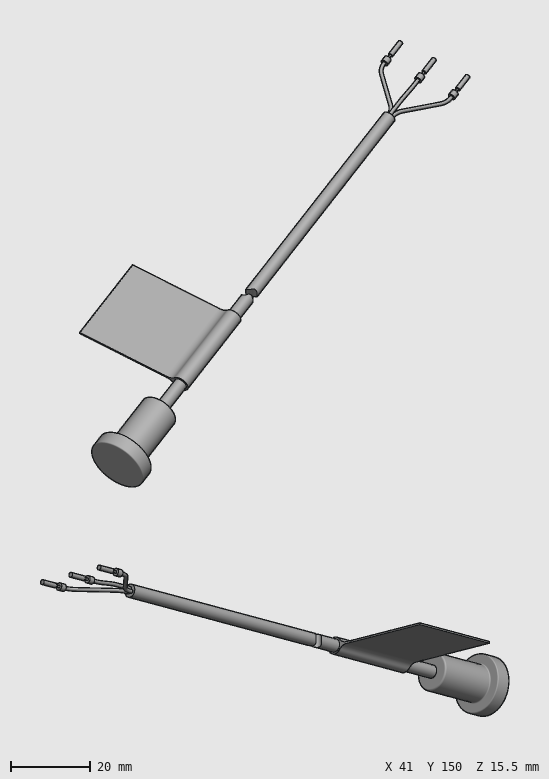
import cadquery as cq
import math


FLANGE_DIAMETER = 15.5
FLANGE_LENGTH = 4.0
BARREL_DIAMETER = 9.9
BARREL_END_Y = 20.1
BARREL_EDGE_FILLET = 0.5
FLANGE_EDGE_FILLET = 0.3
FLANGE_ROOT_FILLET = 0.3

CABLE_DIAMETER = 3.5
JACKET_END_Y = 128.7
BREAK_CENTER_Y = 62.5
BREAK_GAP = 2.0
BREAK_WAVE_HEIGHT = 0.52

LABEL_THICKNESS = 0.5
FLAG_THICKNESS = 0.5
LABEL_START_Y = 30.0
LABEL_LENGTH = 25.0
LABEL_REACH = 30.0
LABEL_BLEND_RADIUS = 3.0

TOTAL_LENGTH = 150.0
TOTAL_WIDTH = 41.0
WIRE_DIAMETER = 1.02
SIDE_BEND_YS = (131.0, 140.2)
SIDE_BEND_RADIUS = 4.2
MIDDLE_BEND_YS = (134.7, 139.8)
MIDDLE_BEND_RADIUS = 18.0
COLLAR_DIAMETER = 2.0
COLLAR_START_Y = 142.4
COLLAR_LENGTH = 1.6
NECK_DIAMETER = 0.7
TIP_DIAMETER = 1.3
TIP_LENGTH = 4.8

cable_radius = CABLE_DIAMETER / 2
wire_spacing = TOTAL_WIDTH - LABEL_REACH - COLLAR_DIAMETER / 2


def cylinder_along_y(diameter, start_y, end_y, x=0.0):
    """Solid cylinder parallel to Y, at height Z = 0."""
    plane = cq.Plane(origin=(x, start_y, 0), xDir=(1, 0, 0), normal=(0, 1, 0))
    return cq.Workplane(plane).circle(diameter / 2).extrude(end_y - start_y)


def cable_piece(flat_y, wave_y):
    """Length of cable with a flat end at flat_y and a wavy, S-shaped end at wave_y."""
    half_radius = cable_radius / 2
    profile = (
        cq.Workplane("XY")
        .workplane(offset=-cable_radius)
        .moveTo(-cable_radius, flat_y)
        .lineTo(-cable_radius, wave_y)
        .threePointArc((-half_radius, wave_y - BREAK_WAVE_HEIGHT), (0, wave_y))
        .threePointArc((half_radius, wave_y + BREAK_WAVE_HEIGHT), (cable_radius, wave_y))
        .lineTo(cable_radius, flat_y)
        .close()
        .extrude(CABLE_DIAMETER)
    )
    far_y = wave_y + math.copysign(CABLE_DIAMETER, wave_y - flat_y)
    round_bar = cylinder_along_y(CABLE_DIAMETER, min(flat_y, far_y), max(flat_y, far_y))
    return round_bar.intersect(profile)


def make_sensor():
    """Flanged sensor housing moulded onto its stub of cable."""
    flange = cylinder_along_y(FLANGE_DIAMETER, 0, FLANGE_LENGTH).edges().fillet(FLANGE_EDGE_FILLET)
    barrel = cylinder_along_y(BARREL_DIAMETER, 0, BARREL_END_Y)
    barrel = barrel.faces(">Y").edges().fillet(BARREL_EDGE_FILLET)
    root_edge = cq.selectors.NearestToPointSelector((0, FLANGE_LENGTH, 0))
    housing = flange.union(barrel).edges(root_edge).fillet(FLANGE_ROOT_FILLET)
    cable_stub = cable_piece(BARREL_END_Y, BREAK_CENTER_Y - BREAK_GAP / 2)
    return housing.union(cable_stub)


def make_label():
    """Label wrapped around the cable, its two halves blended into one flat flag on the -X side."""
    wrap_radius = cable_radius + LABEL_THICKNESS
    center_distance = wrap_radius + LABEL_BLEND_RADIUS
    blend_z = FLAG_THICKNESS / 2 + LABEL_BLEND_RADIUS
    blend_x = -math.sqrt(center_distance**2 - blend_z**2)
    touch_x = blend_x * wrap_radius / center_distance
    touch_z = blend_z * wrap_radius / center_distance
    end_angle = math.atan2(-blend_z, -blend_x)
    middle_angle = (end_angle - math.pi / 2) / 2
    middle_x = blend_x + LABEL_BLEND_RADIUS * math.cos(middle_angle)
    middle_z = blend_z + LABEL_BLEND_RADIUS * math.sin(middle_angle)
    end_y = LABEL_START_Y + LABEL_LENGTH
    outline = (
        cq.Workplane("XZ", origin=(0, end_y, 0))
        .moveTo(-LABEL_REACH, -FLAG_THICKNESS / 2)
        .lineTo(-LABEL_REACH, FLAG_THICKNESS / 2)
        .lineTo(blend_x, FLAG_THICKNESS / 2)
        .threePointArc((middle_x, middle_z), (touch_x, touch_z))
        .threePointArc((wrap_radius, 0), (touch_x, -touch_z))
        .threePointArc((middle_x, -middle_z), (blend_x, -FLAG_THICKNESS / 2))
        .close()
        .extrude(LABEL_LENGTH)
    )
    return outline.cut(cylinder_along_y(CABLE_DIAMETER, LABEL_START_Y, end_y))


def bent_wire(start_x, start_z, end_x, bend_ys, bend_radius):
    """Round wire that shifts sideways in an S-bend, from the jacket end to the collar."""
    shift = math.hypot(end_x - start_x, start_z)
    sideways = cq.Vector((end_x - start_x) / shift, 0, -start_z / shift)
    path_plane = cq.Plane(
        origin=(start_x, 0, start_z),
        xDir=sideways,
        normal=sideways.cross(cq.Vector(0, 1, 0)),
    )
    first_y, second_y = bend_ys
    bend_angle = math.atan2(shift, second_y - first_y)
    tangent = bend_radius * math.tan(bend_angle / 2)
    along_u = tangent * math.sin(bend_angle)
    along_y = tangent * math.cos(bend_angle)
    path = (
        cq.Workplane(path_plane)
        .moveTo(0, JACKET_END_Y)
        .lineTo(0, first_y - tangent)
        .tangentArcPoint((along_u, first_y + along_y), relative=False)
        .lineTo(shift - along_u, second_y - along_y)
        .tangentArcPoint((shift, second_y + tangent), relative=False)
        .lineTo(shift, COLLAR_START_Y)
    )
    section_plane = cq.Plane(origin=(start_x, JACKET_END_Y, start_z), xDir=(1, 0, 0), normal=(0, 1, 0))
    return cq.Workplane(section_plane).circle(WIRE_DIAMETER / 2).sweep(path)


def make_wire(start_x, start_z, end_x, bend_ys, bend_radius):
    """Wire with its collar, thin bare neck and tip."""
    collar_end_y = COLLAR_START_Y + COLLAR_LENGTH
    tip_start_y = TOTAL_LENGTH - TIP_LENGTH
    wire = bent_wire(start_x, start_z, end_x, bend_ys, bend_radius)
    collar = cylinder_along_y(COLLAR_DIAMETER, COLLAR_START_Y, collar_end_y, end_x)
    neck = cylinder_along_y(NECK_DIAMETER, collar_end_y, tip_start_y, end_x)
    tip = cylinder_along_y(TIP_DIAMETER, tip_start_y, TOTAL_LENGTH, end_x)
    return wire.union(collar).union(neck).union(tip)


sensor = make_sensor()
label = make_label()
cable = cable_piece(JACKET_END_Y, BREAK_CENTER_Y + BREAK_GAP / 2)

bundle_radius = WIRE_DIAMETER / math.sqrt(3)
wires = [make_wire(0, bundle_radius, 0, MIDDLE_BEND_YS, MIDDLE_BEND_RADIUS)]
for side in (-1, 1):
    wires.append(
        make_wire(
            side * WIRE_DIAMETER / 2,
            -bundle_radius / 2,
            side * wire_spacing,
            SIDE_BEND_YS,
            SIDE_BEND_RADIUS,
        )
    )

wire_solids = [wire.val() for wire in wires]
result = cq.Compound.makeCompound([sensor.val(), label.val(), cable.val(), *wire_solids])